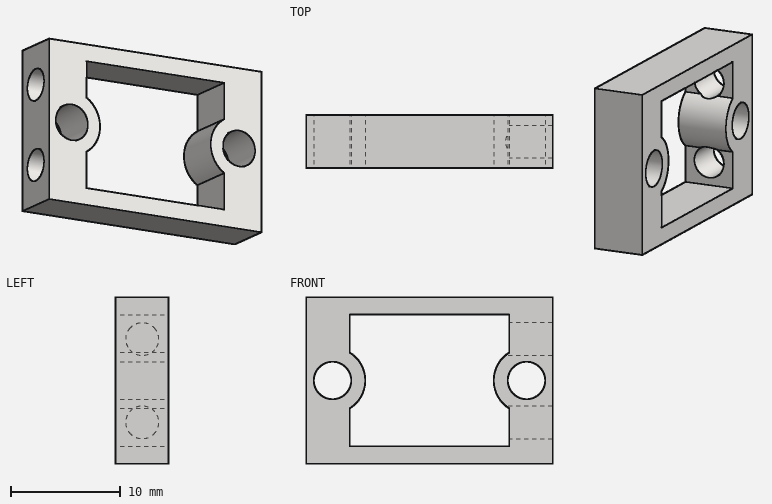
import cadquery as cq

frame_width = 22.5
frame_thickness = 4.85
frame_height = 15.2

opening_width = 14.55
opening_height = 12.0

screw_spacing = 17.7
screw_hole_diameter = 3.4
boss_diameter = 6.0

cross_hole_diameter = 3.0
cross_hole_spacing = 7.6

screw_centres = [(-screw_spacing / 2, 0), (screw_spacing / 2, 0)]
cross_hole_centres = [(0, -cross_hole_spacing / 2), (0, cross_hole_spacing / 2)]


def make_frame():
    """Rectangular ring extruded along Y."""
    return (
        cq.Workplane("XZ")
        .rect(frame_width, frame_height)
        .rect(opening_width, opening_height)
        .extrude(frame_thickness / 2, both=True)
    )


def make_screw_cylinders(diameter):
    """Full-thickness cylinders along Y at both screw positions."""
    return (
        cq.Workplane("XZ")
        .pushPoints(screw_centres)
        .circle(diameter / 2)
        .extrude(frame_thickness / 2, both=True)
    )


def make_bosses():
    """Screw bosses, trimmed to the outline of the frame."""
    envelope = cq.Workplane("XY").box(frame_width, frame_thickness, frame_height)
    return make_screw_cylinders(boss_diameter).intersect(envelope)


def make_cross_holes():
    """Cylinders along X from the centre plane out through the +X side wall."""
    return (
        cq.Workplane("YZ")
        .pushPoints(cross_hole_centres)
        .circle(cross_hole_diameter / 2)
        .extrude(frame_width / 2)
    )


frame = make_frame().union(make_bosses())
result = frame.cut(make_screw_cylinders(screw_hole_diameter)).cut(make_cross_holes())